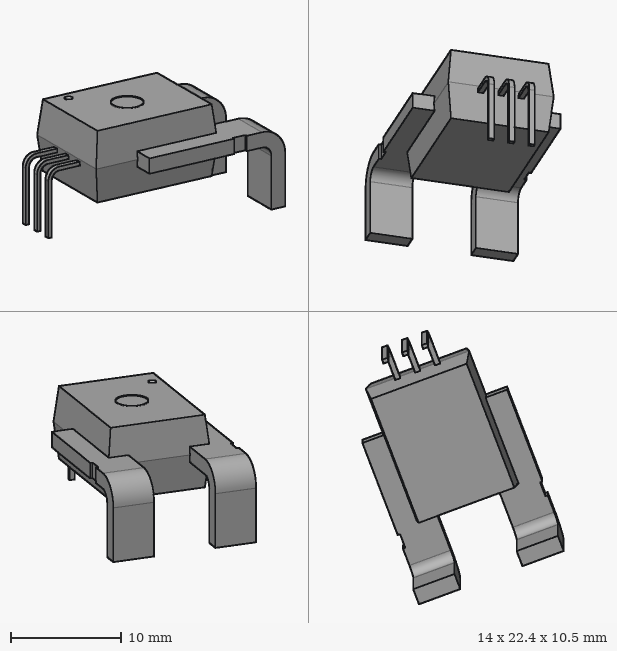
import cadquery as cq
import math

OVERALL_LENGTH = 22.35
OVERALL_HEIGHT = 10.5
BODY_WIDTH = 10.0
BODY_LENGTH = 13.0
BODY_HEIGHT = 7.0
BODY_DRAFT_INSET = 0.38
PARTING_Z = OVERALL_HEIGHT - BODY_HEIGHT / 2

RECESS_DIAMETER = 3.0
RECESS_DEPTH = 0.1
DIMPLE_DIAMETER = 0.75
DIMPLE_DEPTH = 0.22
DIMPLE_X = -3.65
DIMPLE_Y = -3.98

POWER_SPAN = 14.0
POWER_WIDTH = 4.0
POWER_THICKNESS = 1.5
POWER_INNER_RADIUS = 1.0
POWER_BACK_Y = 12.5
POWER_FRONT_Y = -2.05
POWER_TOP_Z = PARTING_Z + POWER_THICKNESS / 2

NOTCH_LENGTH = 1.35
NOTCH_DEPTH = 0.22
NOTCH_FROM_BACK = 4.8
NOTCH_CENTER_Y = POWER_BACK_Y - NOTCH_FROM_BACK

SIGNAL_COUNT = 3
SIGNAL_PITCH = 1.92
SIGNAL_WIDTH = 0.51
SIGNAL_THICKNESS = 0.38
SIGNAL_INNER_RADIUS = 0.8
SIGNAL_FRONT_Y = POWER_BACK_Y - OVERALL_LENGTH
SIGNAL_EMBEDDED_LENGTH = 0.9
SIGNAL_ROOT_Y = SIGNAL_EMBEDDED_LENGTH - BODY_LENGTH / 2
SIGNAL_TOP_Z = 6.75


def body_half(direction):
    """Half of the body, tapering away from the parting plane up (+1) or down (-1)."""
    half_height = BODY_HEIGHT / 2
    draft_angle = math.degrees(math.atan(BODY_DRAFT_INSET / half_height))
    return (
        cq.Workplane("XY", origin=(0, 0, PARTING_Z))
        .rect(BODY_WIDTH, BODY_LENGTH)
        .extrude(direction * half_height, taper=draft_angle)
    )


def bent_lead(center_x, width, thickness, inner_radius, root_y, tip_y, top_z):
    """Flat strip running along Y from root_y, bent down to Z = 0 with its outer face at tip_y."""
    outward = math.copysign(1, tip_y - root_y)
    outer_radius = inner_radius + thickness
    bend_y = tip_y - outward * outer_radius
    bend_z = top_z - outer_radius
    inner_y = tip_y - outward * thickness
    diagonal = math.sqrt(0.5)

    def bend_middle(radius):
        return (bend_y + outward * radius * diagonal, bend_z + radius * diagonal)

    return (
        cq.Workplane("YZ", origin=(center_x, 0, 0))
        .moveTo(root_y, top_z)
        .lineTo(bend_y, top_z)
        .threePointArc(bend_middle(outer_radius), (tip_y, bend_z))
        .lineTo(tip_y, 0)
        .lineTo(inner_y, 0)
        .lineTo(inner_y, bend_z)
        .threePointArc(bend_middle(inner_radius), (bend_y, top_z - thickness))
        .lineTo(root_y, top_z - thickness)
        .close()
        .extrude(width / 2, both=True)
    )


def power_lead(side):
    """Notched power lead on the +X (side = 1) or -X (side = -1) side."""
    lead = bent_lead(
        side * (POWER_SPAN - POWER_WIDTH) / 2,
        POWER_WIDTH,
        POWER_THICKNESS,
        POWER_INNER_RADIUS,
        POWER_FRONT_Y,
        POWER_BACK_Y,
        POWER_TOP_Z,
    )
    notch = cq.Workplane("XY").box(2 * NOTCH_DEPTH, NOTCH_LENGTH, POWER_THICKNESS)
    return lead.cut(notch.translate((side * POWER_SPAN / 2, NOTCH_CENTER_Y, PARTING_Z)))


def signal_lead(index):
    """Signal lead number index, counted from the -X side."""
    return bent_lead(
        (index - (SIGNAL_COUNT - 1) / 2) * SIGNAL_PITCH,
        SIGNAL_WIDTH,
        SIGNAL_THICKNESS,
        SIGNAL_INNER_RADIUS,
        SIGNAL_ROOT_Y,
        SIGNAL_FRONT_Y,
        SIGNAL_TOP_Z,
    )


result = body_half(1).union(body_half(-1))
recess = (
    cq.Workplane("XY", origin=(0, 0, OVERALL_HEIGHT))
    .circle(RECESS_DIAMETER / 2)
    .extrude(-RECESS_DEPTH)
)

dimple_sphere_radius = ((DIMPLE_DIAMETER / 2) ** 2 + DIMPLE_DEPTH**2) / (2 * DIMPLE_DEPTH)
dimple_center_z = OVERALL_HEIGHT - DIMPLE_DEPTH + dimple_sphere_radius
dimple = cq.Workplane("XY").sphere(dimple_sphere_radius).translate((DIMPLE_X, DIMPLE_Y, dimple_center_z))
result = result.cut(recess).cut(dimple)

for side in (-1, 1):
    result = result.union(power_lead(side))
for index in range(SIGNAL_COUNT):
    result = result.union(signal_lead(index))